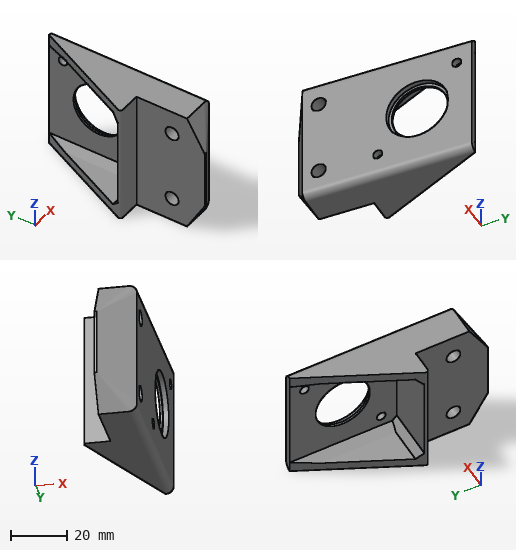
import cadquery as cq
import math

width = 23.7
length = 74.3
height = 50.0
mid_z = height / 2

back_radius = 3.0
wedge_end_x = width - back_radius
step_y = 29.3
step_x = 9.7
tip_radius = 1.0
wedge_lean = math.radians(25.3)

nose_length = 7.6
nose_flat_width = 0.9
nose_flat_height = 24.3
nose_corner_radius = 0.04

pocket_start_y = 31.0
pocket_height = 42.7
pocket_corner = 2.9
pocket_floor_x = wedge_end_x
pocket_floor_height = 40.5
pocket_taper_x = 16.05

bore_y = 52.8
bore_diameter = 22.0
bore_recess_diameter = 24.4
bore_recess_depth = 2.0
screw_offset = 15.5
screw_diameter = 3.6
mount_y = 14.05
mount_spacing = 30.0
mount_diameter = 5.65


def rounded_section(y, section_width, section_height, radius):
    """XZ section with a straight side at step_x and two rounded corners at high X."""
    x_end = step_x + section_width
    z_low = mid_z - section_height / 2
    z_high = mid_z + section_height / 2
    diagonal = radius * (1 - math.sqrt(0.5))
    return (
        cq.Workplane("XZ", origin=(0, y, 0))
        .moveTo(step_x, z_low)
        .lineTo(x_end - radius, z_low)
        .threePointArc((x_end - diagonal, z_low + diagonal), (x_end, z_low + radius))
        .lineTo(x_end, z_high - radius)
        .threePointArc((x_end - diagonal, z_high - diagonal), (x_end - radius, z_high))
        .lineTo(step_x, z_high)
        .close()
        .val()
    )


def make_body():
    tip_angle = math.pi / 2 - wedge_lean
    sharp_tip_x = tip_radius - tip_radius / math.tan(tip_angle / 2)
    body = (
        cq.Workplane("XY")
        .polyline([
            (step_x, nose_length),
            (width, nose_length),
            (width, length),
            (wedge_end_x, length),
            (sharp_tip_x, step_y),
            (step_x, step_y),
        ])
        .close()
        .extrude(height)
    )
    body = body.edges("|Z and <X").fillet(tip_radius)
    return body.faces(">X").edges("|Y").fillet(back_radius)


def make_nose():
    root = rounded_section(nose_length, width - step_x, height, back_radius)
    end = rounded_section(0, nose_flat_width, nose_flat_height, nose_corner_radius)
    return cq.Workplane(obj=cq.Solid.makeLoft([root, end], True))


def make_pocket():
    half_mouth = pocket_height / 2
    half_floor = pocket_floor_height / 2
    profile = (
        cq.Workplane("XZ", origin=(0, pocket_start_y, 0))
        .polyline([
            (0, mid_z - half_mouth),
            (pocket_taper_x, mid_z - half_mouth),
            (pocket_floor_x, mid_z - half_floor),
            (pocket_floor_x, mid_z + half_floor),
            (pocket_taper_x, mid_z + half_mouth),
            (0, mid_z + half_mouth),
        ])
        .close()
        .extrude(pocket_start_y - length)
    )
    pocket_length = length - pocket_start_y
    outline = (
        cq.Workplane("XY")
        .box(width, pocket_length, pocket_height, centered=(False, False, True))
        .edges("|X and <Y")
        .chamfer(pocket_corner)
        .translate((0, pocket_start_y, mid_z))
    )
    return profile.intersect(outline)


def make_holes(centers, diameter):
    return cq.Workplane("YZ").pushPoints(centers).circle(diameter / 2).extrude(width)


result = make_body().union(make_nose()).cut(make_pocket())

screw_centers = [(bore_y + side * screw_offset, mid_z + side * screw_offset) for side in (-1, 1)]
mount_centers = [(mount_y, mid_z + side * mount_spacing / 2) for side in (-1, 1)]
for hole_centers, hole_diameter in (
    ([(bore_y, mid_z)], bore_diameter),
    (screw_centers, screw_diameter),
    (mount_centers, mount_diameter),
):
    result = result.cut(make_holes(hole_centers, hole_diameter))

bore_recess = (
    cq.Workplane("YZ", origin=(width - bore_recess_depth, 0, 0))
    .center(bore_y, mid_z)
    .circle(bore_recess_diameter / 2)
    .extrude(bore_recess_depth)
)
result = result.cut(bore_recess)